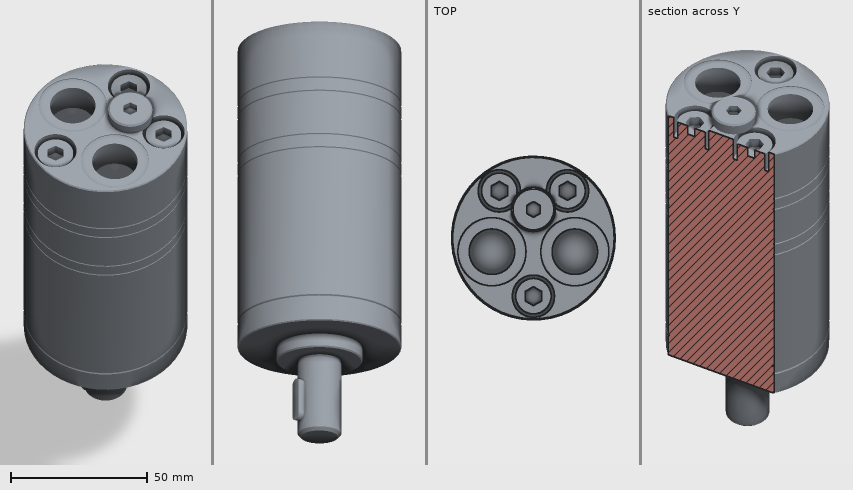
import cadquery as cq
import math


body_diameter = 60.0
body_height = 116.85
flange_joint_height = 9.8
flange_joint_chamfer = 0.4
plate_joint_heights = (67.7, 72.9, 89.8, 95.0)
plate_joint_chamfer = 0.28
edge_chamfer = 0.4

pilot_diameter = 31.5
pilot_height = 5.15
pilot_chamfer = 0.5
shaft_diameter = 16.0
shaft_length = 29.5
shaft_end_chamfer = 1.2
neck_diameter = 15.6
neck_height = 1.0

key_width = 5.0
key_length = 16.0
key_top_offset = 10.0
key_height = 5.0
key_end_distance = 5.0

hex_sides = 6

screw_positions = ((-12.5, 17.3), (12.5, 17.3), (0.0, -21.3))
counterbore_diameter = 15.5
counterbore_depth = 1.5
head_height = 8.0
head_diameter = 13.0
screw_socket_size = 6.0
screw_socket_depth = 4.0

port_offset_x = 15.2
port_offset_y = -5.0
spotface_diameter = 25.0
spotface_depth = 0.3
port_diameter = 16.7
port_depth = 12.0

plug_offset_y = 10.5
plug_diameter = 16.2
plug_height = 4.5
plug_chamfer = 0.6
plug_socket_size = 5.0
plug_socket_depth = 3.0


def cylinder(diameter, bottom, height, x=0.0, y=0.0):
    return cq.Workplane("XY", origin=(x, y, bottom)).circle(diameter / 2).extrude(height)


def hex_socket(across_flats, x, y, top, depth):
    """Hexagonal prism below `top`, with two corners along Y."""
    across_corners = across_flats / math.cos(math.pi / hex_sides)
    plane = cq.Workplane("XY", origin=(x, y, top - depth)).transformed(rotate=(0, 0, 90))
    return plane.polygon(hex_sides, across_corners).extrude(depth)


def housing():
    """Stacked round sections whose chamfered rims form a V groove at each joint."""
    rims = [(0.0, edge_chamfer), (flange_joint_height, flange_joint_chamfer)]
    rims += [(height, plate_joint_chamfer) for height in plate_joint_heights]
    rims.append((body_height, edge_chamfer))
    body = cq.Workplane("XY")
    for (bottom, lower_chamfer), (top, upper_chamfer) in zip(rims, rims[1:]):
        section = cylinder(body_diameter, bottom, top - bottom)
        section = section.faces("<Z").chamfer(lower_chamfer)
        section = section.faces(">Z").chamfer(upper_chamfer)
        body = body.add(section)
    return body.combine()


def pilot():
    return cylinder(pilot_diameter, -pilot_height, pilot_height).faces("<Z").chamfer(pilot_chamfer)


def shaft():
    shaft_end = -pilot_height - shaft_length
    journal_length = shaft_length - neck_height
    journal = cylinder(shaft_diameter, shaft_end, journal_length)
    journal = journal.faces("<Z").chamfer(shaft_end_chamfer)
    neck = cylinder(neck_diameter, -pilot_height - neck_height, neck_height)
    return journal.union(neck)


def key():
    middle = -pilot_height - shaft_length + key_end_distance + key_length / 2
    plane = cq.Workplane("XZ", origin=(0, -key_top_offset, middle))
    return plane.slot2D(key_length, key_width, 90).extrude(-key_height)


def sunk_screw(body, x, y):
    """Counterbore with a socket head cap screw below the end face."""
    bore_depth = counterbore_depth + head_height
    head_top = body_height - counterbore_depth
    body = body.cut(cylinder(counterbore_diameter, body_height - bore_depth, bore_depth, x, y))
    body = body.union(cylinder(head_diameter, body_height - bore_depth, head_height, x, y))
    return body.cut(hex_socket(screw_socket_size, x, y, head_top, screw_socket_depth))


def port(x):
    y = port_offset_y
    spotface = cylinder(spotface_diameter, body_height - spotface_depth, spotface_depth, x, y)
    return spotface.union(cylinder(port_diameter, body_height - port_depth, port_depth, x, y))


def add_plug(body):
    plug = cylinder(plug_diameter, body_height, plug_height, 0, plug_offset_y)
    plug = plug.faces(">Z").chamfer(plug_chamfer)
    plug_top = body_height + plug_height
    socket = hex_socket(plug_socket_size, 0, plug_offset_y, plug_top, plug_socket_depth)
    return body.union(plug.cut(socket))


result = housing().union(pilot()).union(shaft()).union(key())
for screw_x, screw_y in screw_positions:
    result = sunk_screw(result, screw_x, screw_y)
for side in (-1, 1):
    result = result.cut(port(side * port_offset_x))
result = add_plug(result)